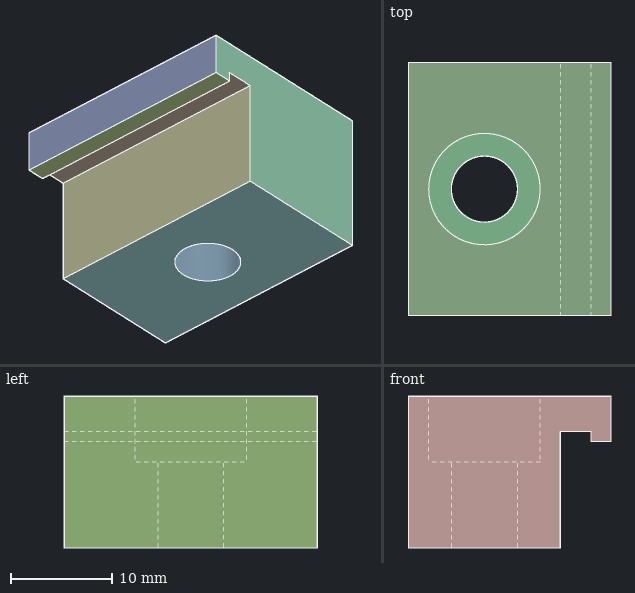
import cadquery as cq

length = 20.0
width = 25.0
height = 15.0

block_length = 15.0
lip_thickness = 3.5
hook_length = 2.0
hook_drop = 1.0

hole_diameter = 6.5
counterbore_diameter = 11.0
counterbore_depth = 6.5

lip_underside = height - lip_thickness
hook_bottom = lip_underside - hook_drop
hook_start = length - hook_length

profile = [
    (0, 0),
    (block_length, 0),
    (block_length, lip_underside),
    (hook_start, lip_underside),
    (hook_start, hook_bottom),
    (length, hook_bottom),
    (length, height),
    (0, height),
]
body = cq.Workplane("XZ").polyline(profile).close().extrude(width / 2, both=True)

result = (
    body.faces(">Z")
    .workplane(origin=(block_length / 2, 0, height))
    .cboreHole(hole_diameter, counterbore_diameter, counterbore_depth)
)